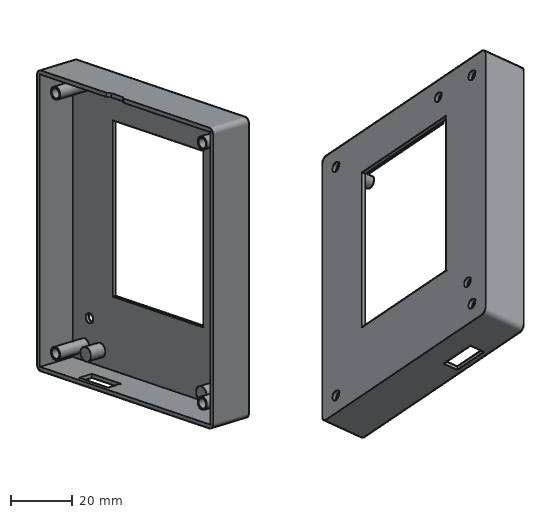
import cadquery as cq

WIDTH = 84.0
DEPTH = 16.2
HEIGHT = 104.0
WALL = 1.5
PLATE = 1.5
CORNER_RADIUS = 2.0
FRONT_Y = -DEPTH / 2
PLATE_FACE_Y = DEPTH / 2 - PLATE

WINDOW_WIDTH = 43.2
WINDOW_TOP = 35.9
WINDOW_BOTTOM = -25.1

STANDOFF_SPACING_X = 70.0
STANDOFF_SPACING_Z = 90.0
STANDOFF_DIAMETER = 4.5
STANDOFF_BORE = 3.5
STANDOFF_LENGTH = 13.0

PEG_SPACING = 55.1
PEG_DIAMETER = 5.0
PEG_LENGTH = 6.5

PLATE_HOLE_DIAMETER = 3.4
PLATE_HOLE_POINTS = [(-17.7, 45.3), (-32.7, -35.3)]

NOTCH_CENTER_X = -4.8
NOTCH_MOUTH_WIDTH = 8.4
NOTCH_FLOOR_WIDTH = 5.5
NOTCH_DEPTH = 0.8

SLOT_CENTER_X = -16.7
SLOT_CENTER_Y = -3.5
SLOT_WIDTH = 13.7
SLOT_DEPTH = 5.7

STANDOFF_POINTS = [
    (side * STANDOFF_SPACING_X / 2, level * STANDOFF_SPACING_Z / 2)
    for side in (-1, 1)
    for level in (-1, 1)
]
PEG_POINTS = [(side * PEG_SPACING / 2, -STANDOFF_SPACING_Z / 2) for side in (-1, 1)]


def plane_at(y):
    """XZ work plane at the given Y; extrusion runs toward -Y."""
    return cq.Workplane("XZ", origin=(0, y, 0))


def make_tray():
    outer = cq.Workplane("XY").box(WIDTH, DEPTH, HEIGHT).edges("|Y").fillet(CORNER_RADIUS)
    cavity = (
        plane_at(PLATE_FACE_Y)
        .rect(WIDTH - 2 * WALL, HEIGHT - 2 * WALL)
        .extrude(DEPTH - PLATE)
    )
    return outer.cut(cavity)


def make_pegs():
    return plane_at(PLATE_FACE_Y).pushPoints(PEG_POINTS).circle(PEG_DIAMETER / 2).extrude(PEG_LENGTH)


def make_window():
    return (
        plane_at(DEPTH / 2)
        .center(0, (WINDOW_TOP + WINDOW_BOTTOM) / 2)
        .rect(WINDOW_WIDTH, WINDOW_TOP - WINDOW_BOTTOM)
        .extrude(PLATE)
    )


def make_plate_holes(points, diameter):
    return plane_at(DEPTH / 2).pushPoints(points).circle(diameter / 2).extrude(PLATE)


def make_notch():
    return (
        cq.Workplane("XY", origin=(NOTCH_CENTER_X, FRONT_Y, HEIGHT / 2 - WALL))
        .moveTo(-NOTCH_MOUTH_WIDTH / 2, 0)
        .lineTo(NOTCH_MOUTH_WIDTH / 2, 0)
        .lineTo(NOTCH_FLOOR_WIDTH / 2, NOTCH_DEPTH)
        .lineTo(-NOTCH_FLOOR_WIDTH / 2, NOTCH_DEPTH)
        .close()
        .extrude(WALL)
    )


def make_slot():
    return (
        cq.Workplane("XY", origin=(SLOT_CENTER_X, SLOT_CENTER_Y, -HEIGHT / 2))
        .rect(SLOT_WIDTH, SLOT_DEPTH)
        .extrude(WALL)
    )


def make_case():
    return (
        make_tray()
        .union(make_pegs())
        .cut(make_window())
        .cut(make_plate_holes(PLATE_HOLE_POINTS, PLATE_HOLE_DIAMETER))
        .cut(make_plate_holes(STANDOFF_POINTS, STANDOFF_BORE))
        .cut(make_notch())
        .cut(make_slot())
    )


def make_standoff(x, z):
    """Tube standing on the plate, its bore in line with a plate hole."""
    return (
        plane_at(PLATE_FACE_Y)
        .center(x, z)
        .circle(STANDOFF_DIAMETER / 2)
        .circle(STANDOFF_BORE / 2)
        .extrude(STANDOFF_LENGTH)
    )


case = make_case()
standoffs = [make_standoff(x, z) for x, z in STANDOFF_POINTS]

result = cq.Compound.makeCompound([case.val(), *[standoff.val() for standoff in standoffs]])